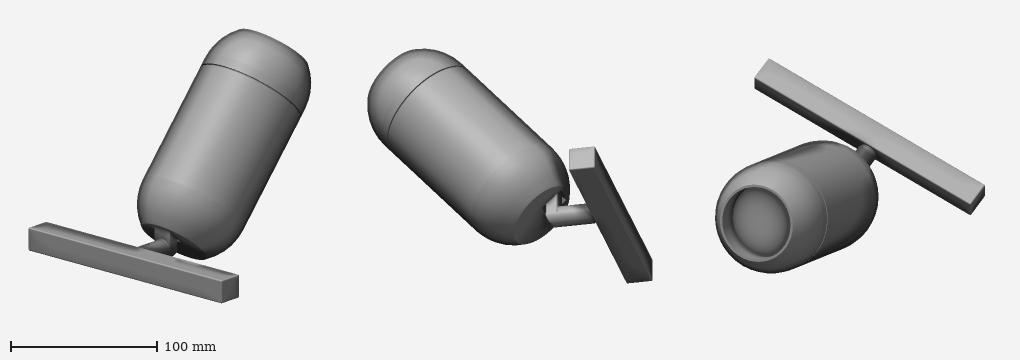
import cadquery as cq
import math


BAR_LENGTH = 177.22
BAR_DEPTH = 18.4
BAR_HEIGHT = 16.6
BAR_EDGE_RADIUS = 1.0
BAR_OFFSET = 5.3

ARM_RADIUS = 7.05
ARM_EDGE_RADIUS = 0.7
NECK_RADIUS = 6.4
NECK_LENGTH = 1.0
BRACKET_THICKNESS = 8.0
BRACKET_BACK = 33.3
BRACKET_HEEL_RADIUS = 6.0
BRACKET_EDGE_CHAMFER = 0.5
JUNCTION_CHAMFER = 0.6
BRACKET_FRONT = BRACKET_BACK - BRACKET_THICKNESS
SCREW_RADIUS = 1.2
SCREW_POSITION = 11.1
SCREW_DEPTH = 0.3

TILT = 41.5
HEAD_Y = 37.9
HEAD_Z = 2.5
HEAD_RADIUS = 38.4
HEAD_LENGTH = 152.7
SHOULDER_RADIUS = 38.4
REAR_RADIUS = 25.95
REAR_CHAMFER = 1.1
FRONT_RADIUS = 27.15
FRONT_CHAMFER = 0.5
BORE_RADIUS = 25.0
BORE_DEPTH = 19.3
GROOVE_POSITION = 118.0
GROOVE_WIDTH = 1.1
GROOVE_DEPTH = 1.5

SLOT_WIDTH = 15.4
SLOT_CLEARANCE = 3.7
SLOT_DEPTH = 3.5

TILT_SIN = math.sin(math.radians(TILT))
TILT_COS = math.cos(math.radians(TILT))

head_plane = cq.Plane(
    origin=(0, HEAD_Y, HEAD_Z), xDir=(1, 0, 0), normal=(0, TILT_SIN, TILT_COS)
)

bracket_middle = (BRACKET_FRONT + BRACKET_BACK) / 2
slot_middle = (bracket_middle - HEAD_Y) / TILT_COS
slot_length = BRACKET_THICKNESS / TILT_COS + 2 * SLOT_CLEARANCE


def shoulder_length(end_radius):
    """Axial length of the shoulder arc from the full radius down to end_radius."""
    drop = HEAD_RADIUS - end_radius
    return math.sqrt(SHOULDER_RADIUS**2 - (SHOULDER_RADIUS - drop) ** 2)


def shoulder_middle(end_radius, tangent_height, direction):
    """Point halfway round a shoulder arc; direction is +1 toward the front."""
    half_angle = math.asin(shoulder_length(end_radius) / SHOULDER_RADIUS) / 2
    radius = HEAD_RADIUS - SHOULDER_RADIUS * (1 - math.cos(half_angle))
    return radius, tangent_height + direction * SHOULDER_RADIUS * math.sin(half_angle)


def make_head():
    """Turned lamp head with light opening, parting groove and bracket slot."""
    rear_tangent = REAR_CHAMFER + shoulder_length(REAR_RADIUS)
    front_edge = HEAD_LENGTH - FRONT_CHAMFER
    front_tangent = front_edge - shoulder_length(FRONT_RADIUS)
    bore_floor = HEAD_LENGTH - BORE_DEPTH
    groove_rear = GROOVE_POSITION - GROOVE_WIDTH / 2
    groove_front = GROOVE_POSITION + GROOVE_WIDTH / 2
    groove_floor = HEAD_RADIUS - GROOVE_DEPTH
    head = (
        cq.Workplane("XY")
        .moveTo(0, 0)
        .lineTo(REAR_RADIUS - REAR_CHAMFER, 0)
        .lineTo(REAR_RADIUS, REAR_CHAMFER)
        .threePointArc(
            shoulder_middle(REAR_RADIUS, rear_tangent, -1), (HEAD_RADIUS, rear_tangent)
        )
        .lineTo(HEAD_RADIUS, groove_rear)
        .lineTo(groove_floor, groove_rear)
        .lineTo(groove_floor, groove_front)
        .lineTo(HEAD_RADIUS, groove_front)
        .lineTo(HEAD_RADIUS, front_tangent)
        .threePointArc(
            shoulder_middle(FRONT_RADIUS, front_tangent, 1), (FRONT_RADIUS, front_edge)
        )
        .lineTo(FRONT_RADIUS - FRONT_CHAMFER, HEAD_LENGTH)
        .lineTo(BORE_RADIUS, HEAD_LENGTH)
        .lineTo(BORE_RADIUS, bore_floor)
        .lineTo(0, bore_floor)
        .close()
        .revolve(360, (0, 0, 0), (0, 1, 0))
        .rotate((0, 0, 0), (1, 0, 0), 90 - TILT)
        .translate((0, HEAD_Y, HEAD_Z))
    )
    slot = (
        cq.Workplane(head_plane)
        .center(0, slot_middle)
        .rect(SLOT_WIDTH, slot_length)
        .extrude(SLOT_DEPTH)
    )
    return head.cut(slot)


def make_bar():
    """Plain bar with all edges rounded."""
    return (
        cq.Workplane("XY")
        .box(BAR_LENGTH, BAR_DEPTH, BAR_HEIGHT)
        .translate((BAR_OFFSET, -BAR_DEPTH / 2, 0))
        .edges()
        .fillet(BAR_EDGE_RADIUS)
    )


def rod(radius, start, end):
    """Round rod along Y between two positions."""
    return cq.Workplane("XZ", origin=(0, start, 0)).circle(radius).extrude(start - end)


def make_bracket():
    """Upright flat, rounded under the arm, ending on the slot floor of the head."""
    uncut_height = HEAD_LENGTH / 2
    upright = (
        cq.Workplane("XY")
        .box(
            2 * ARM_RADIUS, BRACKET_THICKNESS, uncut_height, centered=(True, True, False)
        )
        .translate((0, bracket_middle, 0))
        .edges("|Z")
        .chamfer(BRACKET_EDGE_CHAMFER)
    )
    heel_limit = (
        cq.Workplane("XY")
        .box(2 * ARM_RADIUS, BRACKET_BACK, 2 * ARM_RADIUS)
        .translate((0, BRACKET_BACK / 2, 0))
        .edges(">Y and <Z")
        .fillet(BRACKET_HEEL_RADIUS)
    )
    heel = rod(ARM_RADIUS, BRACKET_FRONT, BRACKET_BACK).intersect(heel_limit)
    lower_half = (
        cq.Workplane("XY")
        .box(2 * ARM_RADIUS, BRACKET_BACK, ARM_RADIUS, centered=(True, False, False))
        .translate((0, 0, -ARM_RADIUS))
    )
    beyond_slot_floor = (
        cq.Workplane(head_plane)
        .workplane(offset=SLOT_DEPTH)
        .rect(2 * HEAD_LENGTH, 2 * HEAD_LENGTH)
        .extrude(HEAD_LENGTH)
    )
    return upright.union(heel.intersect(lower_half)).cut(beyond_slot_floor)


def make_junction():
    """Bevel where the upper half of the arm runs into the bracket."""
    bevel = (
        cq.Workplane("XZ", origin=(0, BRACKET_FRONT, 0))
        .circle(ARM_RADIUS + JUNCTION_CHAMFER)
        .extrude(JUNCTION_CHAMFER, taper=45)
    )
    flat_width = 2 * (ARM_RADIUS - BRACKET_EDGE_CHAMFER)
    upper_half = cq.Workplane("XY").box(
        flat_width, BRACKET_BACK, 2 * ARM_RADIUS, centered=(True, False, False)
    )
    return bevel.intersect(upper_half)


def make_mount():
    """Bar, neck, arm and bracket as one piece, with a locking screw dimple."""
    neck = rod(NECK_RADIUS, -BAR_EDGE_RADIUS, NECK_LENGTH)
    arm = rod(ARM_RADIUS, NECK_LENGTH, BRACKET_FRONT)
    arm = arm.faces("<Y").edges().fillet(ARM_EDGE_RADIUS)
    arm = arm.union(make_junction()).union(make_bracket())
    dimple = (
        cq.Workplane("XY", origin=(0, SCREW_POSITION, ARM_RADIUS - SCREW_DEPTH))
        .circle(SCREW_RADIUS)
        .extrude(2 * SCREW_DEPTH)
    )
    return make_bar().union(neck).union(arm).cut(dimple)


head = make_head()
mount = make_mount()

result = cq.Compound.makeCompound([head.solids().val(), mount.solids().val()])